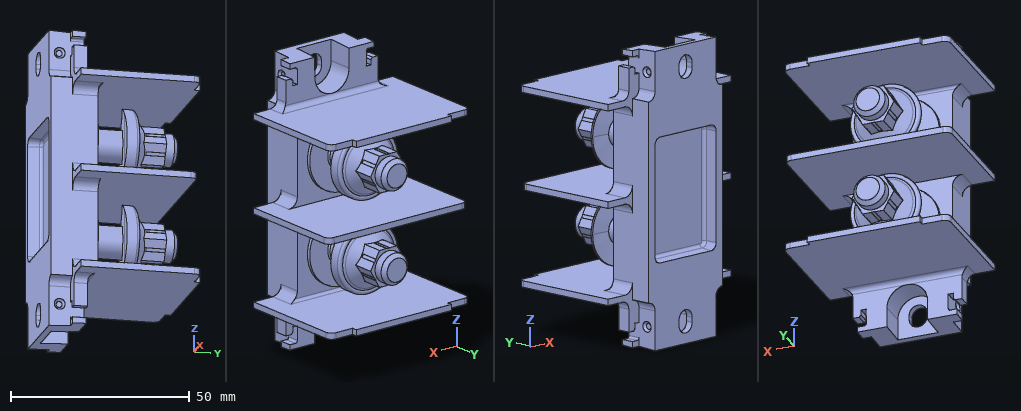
import cadquery as cq
import math

HALF_WIDTH = 25.0
HALF_HEIGHT = 43.1
FRONT_Y = -21.3
REAR_Y = 21.2

BODY_HALF_WIDTH = 15.1
BODY_HALF_HEIGHT = 29.0
BODY_REAR_Y = -7.8
STEP_Y = -15.1
END_HALF_WIDTH = 12.4
END_REAR_Y = -11.1
END_NECK_RADIUS = 2.6
END_FACE_SLOPE = 0.5

BARRIER_THICKNESS = 1.9
BARRIER_CORNER_RADIUS = 2.0
SHOULDER_Y = 19.6
RAISED_HALF_WIDTH = 17.1
MIDDLE_BARRIER_REAR_Y = 18.5
BARRIER_PITCH = BODY_HALF_HEIGHT - BARRIER_THICKNESS / 2
INNER_FACE_Z = BODY_HALF_HEIGHT - BARRIER_THICKNESS
SIDE_FILLET = 3.0
REAR_FILLET = 0.9

ARM_OUTER_X = 16.55
ARM_INNER_X = 14.0
ARM_END_Z = 38.0
ARM_CHAMFER = 0.6
ARM_STEP_Z = 35.9
ARM_SIDE_FILLET = 2.4
ARM_REAR_FILLET = 1.55
TAB_INNER_Z = 40.95
TAB_FILLET = 0.7

MOUNT_Z = 36.6
SLOT_WIDTH = 5.35
SLOT_LENGTH = 6.7
CHANNEL_RADIUS = 6.1
CHANNEL_FLOOR_Y = -19.1
SOCKET_Y = -18.2
SOCKET_MOUTH_RADIUS = 1.55
SOCKET_FLOOR_RADIUS = 0.9
SOCKET_DEPTH = 0.7

POCKET_WIDTH = 2 * END_HALF_WIDTH
POCKET_HEIGHT = 36.2
POCKET_DEPTH = 4.3
POCKET_CORNER_RADIUS = 2.1
POCKET_TAPER = 5.0
POCKET_FLOOR_FILLET = 1.0

STUD_Z = BARRIER_PITCH / 2
PAD_RADIUS = 11.5
PAD_REAR_Y = -6.7
STUD_RADIUS = 4.7
STUD_END_Y = 18.1
STUD_CHAMFER = 1.2
STUD_ROOT_RADIUS = 5.0
STUD_ROOT_LENGTH = 0.7
CLAMP_RADIUS = 10.7
CLAMP_LOW_Y = 1.7
CLAMP_HIGH_Y = 4.5
CLAMP_RIM_Y = 4.7
CLAMP_SHOULDER_RADIUS = 9.3
CLAMP_SHOULDER_Y = 5.35
CONE_BASE_RADIUS = 8.6
CONE_BASE_Y = 5.8
CONE_TOP_RADIUS = 5.0
CONE_TOP_Y = 8.6
CLAMP_BEND_MIDDLE_Y = 2.9
CLAMP_BEND_END_X = 7.8
NUT_FLATS = 11.0
NUT_GROOVE_WIDTH = 1.0
NUT_GROOVE_DEPTH = 0.1
NUT_FACES = 6
NUT_END_Y = 14.2


def extrude_y(outline, y_start, y_end):
    """Extrude an outline drawn in X and Z from y_start to y_end."""
    return outline.extrude(y_start - y_end).translate((0, y_start, 0))


def box_between(x_half, y_start, y_end, z_low, z_high):
    """Box centred on X."""
    return cq.Workplane("XY").box(2 * x_half, y_end - y_start, z_high - z_low).translate(
        (0, (y_start + y_end) / 2, (z_low + z_high) / 2)
    )


def cylinder_y(radius, y_start, y_end):
    """Cylinder along Y, centred on X and Z."""
    return extrude_y(cq.Workplane("XZ").circle(radius), y_start, y_end)


def both_ends(shape):
    """The shape together with its mirror image at the -Z end."""
    return shape.union(shape.mirror("XY"))


def both_sides(shape):
    """The shape together with its mirror image on the -X side."""
    return shape.union(shape.mirror("YZ"))


def concave_arc(path, start, end, centre):
    """Quarter-circle arc from start to end around a centre."""
    radius = math.dist(start, centre)
    along = ((start[0] + end[0]) / 2 - centre[0], (start[1] + end[1]) / 2 - centre[1])
    scale = radius / math.hypot(*along)
    middle = (centre[0] + along[0] * scale, centre[1] + along[1] * scale)
    return path.threePointArc(middle, end)


def side_flare(z_face, direction, x_face, radius):
    """Concave fillet section in the +X corner between x_face and z_face, open towards direction."""
    z_end = z_face + direction * radius
    path = cq.Workplane("XZ").moveTo(x_face, z_face).lineTo(x_face + radius, z_face)
    path = concave_arc(path, (x_face + radius, z_face), (x_face, z_end), (x_face + radius, z_end))
    return path.lineTo(0, z_end).lineTo(0, z_face).close()


def rear_limit(y_face, z_face, z_far, radius):
    """Block behind the front face, flaring at its rear into a barrier face at z_face."""
    direction = math.copysign(1, z_far - z_face)
    z_end = z_face + direction * radius
    path = cq.Workplane("YZ").moveTo(FRONT_Y, z_face).lineTo(y_face + radius, z_face)
    path = concave_arc(path, (y_face + radius, z_face), (y_face, z_end), (y_face + radius, z_end))
    path = path.lineTo(y_face, z_far).lineTo(FRONT_Y, z_far).close()
    return path.extrude(HALF_WIDTH, both=True)


def make_body():
    """Main block between the outer barriers, flared at every barrier."""
    core = box_between(BODY_HALF_WIDTH, FRONT_Y, BODY_REAR_Y, -BODY_HALF_HEIGHT, BODY_HALF_HEIGHT)
    middle = side_flare(BARRIER_THICKNESS / 2, 1, BODY_HALF_WIDTH, SIDE_FILLET)
    core = core.union(both_ends(both_sides(extrude_y(middle, STEP_Y, BODY_REAR_Y))))

    flare_rear_y = BODY_REAR_Y + REAR_FILLET
    outer = box_between(BODY_HALF_WIDTH, STEP_Y, flare_rear_y, 0, INNER_FACE_Z)
    flare = side_flare(INNER_FACE_Z, -1, BODY_HALF_WIDTH, SIDE_FILLET)
    outer = outer.union(both_sides(extrude_y(flare, STEP_Y, flare_rear_y)))
    outer = outer.intersect(rear_limit(BODY_REAR_Y, INNER_FACE_Z, 0, REAR_FILLET))
    return core.union(both_ends(outer))


def make_end():
    """Narrow +Z end with its neck, side arms and end tabs."""
    layer_rear_y = END_REAR_Y + ARM_REAR_FILLET
    block = box_between(END_HALF_WIDTH, FRONT_Y, layer_rear_y, BODY_HALF_HEIGHT, HALF_HEIGHT)
    neck = side_flare(BODY_HALF_HEIGHT, 1, END_HALF_WIDTH, END_NECK_RADIUS)
    block = block.union(both_sides(extrude_y(neck, FRONT_Y, STEP_Y)))

    arm = (
        cq.Workplane("XZ")
        .moveTo(0, BODY_HALF_HEIGHT)
        .lineTo(ARM_OUTER_X, BODY_HALF_HEIGHT)
        .lineTo(ARM_OUTER_X, ARM_END_Z)
        .lineTo(ARM_INNER_X + ARM_CHAMFER, ARM_END_Z)
        .lineTo(ARM_INNER_X, ARM_END_Z - ARM_CHAMFER)
        .lineTo(ARM_INNER_X, ARM_STEP_Z)
        .lineTo(0, ARM_STEP_Z)
        .close()
    )
    tab = (
        cq.Workplane("XZ")
        .moveTo(0, HALF_HEIGHT)
        .lineTo(BODY_HALF_WIDTH, HALF_HEIGHT)
        .lineTo(BODY_HALF_WIDTH, TAB_INNER_Z)
        .lineTo(0, TAB_INNER_Z)
        .close()
    )
    arm_flare = side_flare(BODY_HALF_HEIGHT, 1, ARM_OUTER_X, ARM_SIDE_FILLET)
    tab_flare = side_flare(TAB_INNER_Z, -1, END_HALF_WIDTH, TAB_FILLET)
    for outline in (arm, arm_flare, tab, tab_flare):
        block = block.union(both_sides(extrude_y(outline, STEP_Y, layer_rear_y)))
    block = block.intersect(rear_limit(END_REAR_Y, BODY_HALF_HEIGHT, HALF_HEIGHT, ARM_REAR_FILLET))

    slope = END_FACE_SLOPE / (END_REAR_Y - FRONT_Y)
    lean = slope * (layer_rear_y - FRONT_Y)
    trim = (
        cq.Workplane("YZ")
        .moveTo(FRONT_Y, HALF_HEIGHT)
        .lineTo(layer_rear_y, HALF_HEIGHT - lean)
        .lineTo(layer_rear_y, HALF_HEIGHT)
        .close()
        .extrude(HALF_WIDTH, both=True)
    )
    return block.cut(trim)


def end_openings():
    """Mounting slot, open channel behind it and conical side sockets at the +Z end."""
    slot = cq.Workplane("XZ").center(0, MOUNT_Z).slot2D(SLOT_LENGTH, SLOT_WIDTH, 90)
    openings = extrude_y(slot, FRONT_Y, CHANNEL_FLOOR_Y)
    channel_rear_y = END_REAR_Y + ARM_REAR_FILLET
    openings = openings.union(
        cylinder_y(CHANNEL_RADIUS, CHANNEL_FLOOR_Y, channel_rear_y).translate((0, 0, MOUNT_Z))
    )
    openings = openings.union(
        box_between(CHANNEL_RADIUS, CHANNEL_FLOOR_Y, channel_rear_y, MOUNT_Z, HALF_HEIGHT)
    )
    socket = cq.Workplane(
        cq.Solid.makeCone(
            SOCKET_MOUTH_RADIUS,
            SOCKET_FLOOR_RADIUS,
            SOCKET_DEPTH,
            cq.Vector(END_HALF_WIDTH, SOCKET_Y, MOUNT_Z),
            cq.Vector(-1, 0, 0),
        )
    )
    return openings.union(both_sides(socket))


def make_pocket():
    """Tapered front pocket with rounded corners and a filleted floor."""
    pocket = (
        cq.Workplane("XZ")
        .sketch()
        .rect(POCKET_WIDTH, POCKET_HEIGHT)
        .vertices()
        .fillet(POCKET_CORNER_RADIUS)
        .finalize()
        .extrude(-POCKET_DEPTH, taper=POCKET_TAPER)
        .faces(">Y")
        .edges()
        .fillet(POCKET_FLOOR_FILLET)
    )
    return pocket.translate((0, FRONT_Y, 0))


def make_barrier(z_centre, rear_y):
    """Barrier plate with rounded rear corners."""
    z_low = z_centre - BARRIER_THICKNESS / 2
    plate = box_between(HALF_WIDTH, STEP_Y, rear_y, z_low, z_low + BARRIER_THICKNESS)
    return plate.edges("|Z and >Y").fillet(BARRIER_CORNER_RADIUS)


def make_outer_barrier():
    """+Z barrier, whose middle part reaches further back than its shoulders."""
    plate = make_barrier(BARRIER_PITCH, SHOULDER_Y)
    raised = box_between(RAISED_HALF_WIDTH, STEP_Y, REAR_Y, INNER_FACE_Z, BODY_HALF_HEIGHT)
    return plate.union(raised)


def make_clamp():
    """Round clamp with a rounded rim, a conical rear and an underside that drops towards +X."""
    clamp = (
        cq.Workplane("XY")
        .moveTo(0, CLAMP_LOW_Y)
        .lineTo(CLAMP_RADIUS, CLAMP_LOW_Y)
        .lineTo(CLAMP_RADIUS, CLAMP_RIM_Y)
        .tangentArcPoint((CLAMP_SHOULDER_RADIUS, CLAMP_SHOULDER_Y), relative=False)
        .lineTo(CONE_BASE_RADIUS, CONE_BASE_Y)
        .lineTo(CONE_TOP_RADIUS, CONE_TOP_Y)
        .lineTo(0, CONE_TOP_Y)
        .close()
        .revolve(360, (0, 0), (0, 1))
    )
    relief = (
        cq.Workplane("XY")
        .moveTo(-CLAMP_RADIUS, CLAMP_LOW_Y)
        .lineTo(-CLAMP_RADIUS, CLAMP_HIGH_Y)
        .spline(
            [(0, CLAMP_BEND_MIDDLE_Y), (CLAMP_BEND_END_X, CLAMP_LOW_Y)],
            tangents=[(1, 0), (1, 0)],
            includeCurrent=True,
        )
        .close()
        .extrude(CLAMP_RADIUS, both=True)
    )
    return clamp.cut(relief)


def make_nut():
    """Hexagonal nut with corners on +X and -X and a shallow groove along each face."""
    corner_diameter = NUT_FLATS / math.cos(math.pi / NUT_FACES)
    hexagon = cq.Workplane("XZ").polygon(NUT_FACES, corner_diameter)
    nut = extrude_y(hexagon, CONE_BASE_Y, NUT_END_Y)
    groove_floor = NUT_FLATS / 2 - NUT_GROOVE_DEPTH
    groove = box_between(NUT_GROOVE_WIDTH / 2, CONE_TOP_Y, NUT_END_Y, groove_floor, NUT_FLATS / 2)
    for face in range(NUT_FACES):
        nut = nut.cut(groove.rotate((0, 0, 0), (0, 1, 0), face * 360 / NUT_FACES))
    return nut


def make_terminal():
    """Pad, stud, clamp and nut on the Y axis."""
    pad = cylinder_y(PAD_RADIUS, BODY_REAR_Y, PAD_REAR_Y)
    stud = cylinder_y(STUD_RADIUS, PAD_REAR_Y, STUD_END_Y).faces(">Y").chamfer(STUD_CHAMFER)
    root = cq.Workplane(
        cq.Solid.makeCone(
            STUD_ROOT_RADIUS,
            STUD_RADIUS,
            STUD_ROOT_LENGTH,
            cq.Vector(0, PAD_REAR_Y, 0),
            cq.Vector(0, 1, 0),
        )
    )
    return pad.union(root).union(stud).union(make_clamp()).union(make_nut())


base = make_body().union(both_ends(make_end()))
base = base.union(both_ends(make_outer_barrier()))
base = base.union(make_barrier(0, MIDDLE_BARRIER_REAR_Y))
base = base.cut(both_ends(end_openings())).cut(make_pocket())
result = base.union(both_ends(make_terminal().translate((0, 0, STUD_Z))))